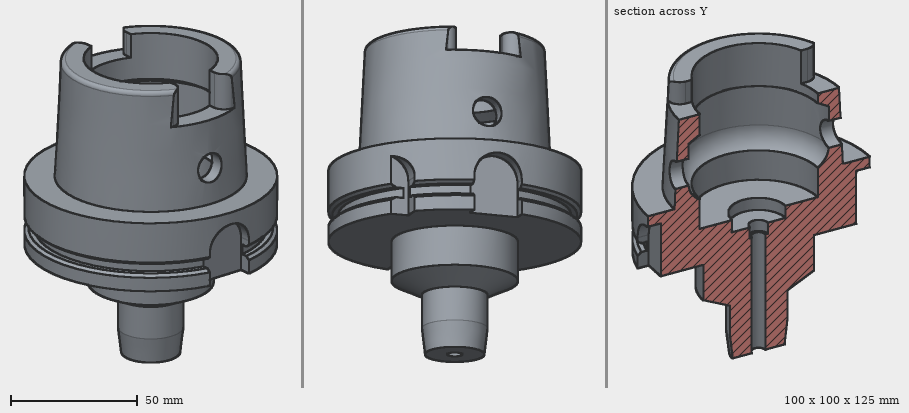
import cadquery as cq
import math

total_height = 125.0
flange_top = 75.0
flange_bottom = 46.0
collar_bottom = 30.0
neck_top = 24.2
nose_top = 10.6

flange_radius = 50.0
shank_base_radius = 38.0
shank_top_radius = 35.5
shank_rounding = 1.9
collar_radius = 25.0
neck_radius = 13.0
nose_tip_radius = 11.8

groove_center = 55.0
groove_floor_radius = 46.0
groove_floor_width = 4.0
groove_mouth_width = 6.5
groove_lip_radius = 48.4
cut_clearance = 1.2

mouth_radius = 26.5
mouth_depth = 19.5
clamp_radius = 31.5
clamp_bevel_height = 2.9
clamp_wall_bottom = 85.0
lower_rounding = 10.0
guide_floor = 63.0
socket_radius = 12.0
socket_floor = 57.5
tube_radius = 4.0
tube_floor = 52.5
through_radius = 3.0

key_half_width = 10.0
key_shoulder_x = 32.4
key_corner_radius = 5.0
left_key_depth = 10.0
right_key_depth = 15.0

slot_width = 20.0
slot_top = 70.0
drive_slot_floor = 44.0
notch_floor = 31.6
notch_center_y = 41.4

cross_hole_radius = 6.0
cross_hole_height = 90.0


def revolve_profile(points):
    """Turn an (r, z) outline about the Z axis."""
    return cq.Workplane("XZ").polyline(points).close().revolve(360, (0, 0, 0), (0, 1, 0))


def turned_body():
    body = revolve_profile([
        (0, 0),
        (nose_tip_radius, 0),
        (neck_radius, nose_top),
        (neck_radius, neck_top),
        (collar_radius, collar_bottom),
        (collar_radius, flange_bottom),
        (flange_radius, flange_bottom),
        (flange_radius, flange_top),
        (shank_base_radius, flange_top),
        (shank_top_radius, total_height),
        (0, total_height),
    ])
    return body.faces(">Z").edges().fillet(shank_rounding)


def gripper_groove():
    half_floor = groove_floor_width / 2
    half_mouth = groove_mouth_width / 2
    outer = flange_radius + cut_clearance
    return revolve_profile([
        (groove_floor_radius, groove_center - half_floor),
        (groove_lip_radius, groove_center - half_floor),
        (flange_radius, groove_center - half_mouth),
        (outer, groove_center - half_mouth),
        (outer, groove_center + half_mouth),
        (flange_radius, groove_center + half_mouth),
        (groove_lip_radius, groove_center + half_floor),
        (groove_floor_radius, groove_center + half_floor),
    ])


def stepped_bore():
    """Axial bore with a wider clamping chamber between its mouth and its guide section."""
    mouth_bottom = total_height - mouth_depth
    arc_center_radius = clamp_radius - lower_rounding
    arc_angle = math.acos((mouth_radius - arc_center_radius) / lower_rounding)

    def arc_point(angle):
        return (
            arc_center_radius + lower_rounding * math.cos(angle),
            clamp_wall_bottom - lower_rounding * math.sin(angle),
        )

    outline = (
        cq.Workplane("XZ")
        .polyline([
            (0, total_height),
            (0, 0),
            (through_radius, 0),
            (through_radius, tube_floor),
            (tube_radius, tube_floor),
            (tube_radius, socket_floor),
            (socket_radius, socket_floor),
            (socket_radius, guide_floor),
            (mouth_radius, guide_floor),
            arc_point(arc_angle),
        ])
        .threePointArc(arc_point(arc_angle / 2), (clamp_radius, clamp_wall_bottom))
        .lineTo(clamp_radius, mouth_bottom - clamp_bevel_height)
        .lineTo(mouth_radius, mouth_bottom)
        .lineTo(mouth_radius, total_height)
        .close()
    )
    return outline.revolve(360, (0, 0, 0), (0, 1, 0))


def key_cut(side, depth):
    """Space on one side (+1 or -1 in X) around the two rounded drive keys."""
    reach = flange_radius
    floor = total_height - depth
    space = cq.Workplane("XY").box(reach, 2 * reach, depth, centered=(False, True, False))
    for key_side in (1, -1):
        key = (
            cq.Workplane("XY")
            .center(0, key_side * (key_half_width + reach / 2))
            .rect(2 * key_shoulder_x, reach)
            .extrude(depth)
            .edges("|Z")
            .fillet(key_corner_radius)
        )
        space = space.cut(key)
    if side < 0:
        space = space.mirror("YZ")
    return space.translate((0, 0, floor))


def flange_slot(center_y, floor):
    """Round-topped slot open at the flange underside, cut inward from -X."""
    radius = slot_width / 2
    arch_center = slot_top - radius
    return (
        cq.Workplane("YZ", origin=(-floor, center_y, 0))
        .moveTo(-radius, flange_bottom)
        .lineTo(-radius, arch_center)
        .threePointArc((0, slot_top), (radius, arch_center))
        .lineTo(radius, flange_bottom)
        .close()
        .extrude(-flange_radius)
    )


cross_hole = (
    cq.Workplane("YZ")
    .center(0, cross_hole_height)
    .circle(cross_hole_radius)
    .extrude(flange_radius, both=True)
)
drive_slot = flange_slot(0, drive_slot_floor)

result = (
    turned_body()
    .cut(gripper_groove())
    .cut(stepped_bore())
    .cut(key_cut(-1, left_key_depth))
    .cut(key_cut(1, right_key_depth))
    .cut(drive_slot)
    .cut(drive_slot.mirror("YZ"))
    .cut(flange_slot(notch_center_y, notch_floor))
    .cut(cross_hole)
)